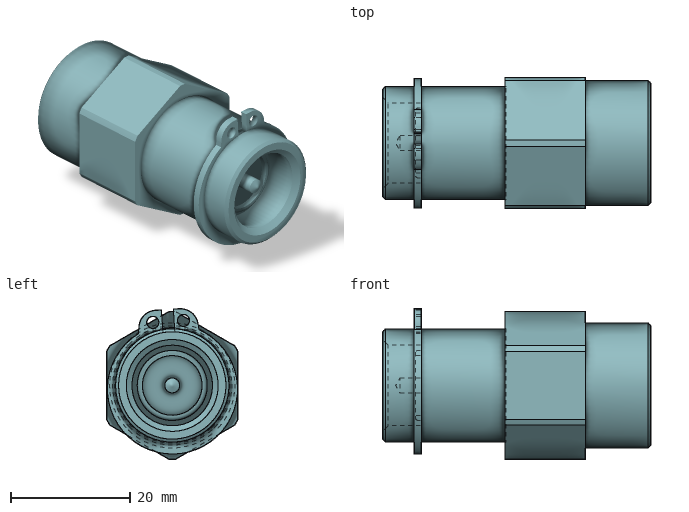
import cadquery as cq
import math

TOTAL_LENGTH = 45.0
FRONT_DIAMETER = 19.0
REAR_DIAMETER = 21.0
END_CHAMFER = 0.5

HEX_START = 20.5
HEX_END = 34.0
HEX_ACROSS_FLATS = 22.0
HEX_CORNER_DIAMETER = 24.8
HEX_RELIEF = 0.2

BORE_DIAMETER = 13.5
BORE_DEPTH = 6.5
BORE_MOUTH_DIAMETER = 15.4
BORE_MOUTH_DEPTH = 0.95

SLEEVE_DIAMETER = 11.75
SLEEVE_INNER_DIAMETER = 10.0
SLEEVE_START = 5.5
SLEEVE_ROUND = 0.5
PIN_DIAMETER = 2.5
PIN_START = 2.2
PIN_POINT_LENGTH = 0.72

RING_START = 5.3
RING_THICKNESS = 1.2
GROOVE_DIAMETER = 18.0
RING_OUTER_RADIUS = 10.9
RING_DROP = 0.6
RING_TURN = -3.65
LUG_TOP = 12.77
LUG_BASE = 8.6
LUG_TOP_HALF_WIDTH = 4.75
LUG_BASE_HALF_WIDTH = 5.1
LUG_ROUND = 3.0
LUG_GAP = 2.0
LUG_HOLE_DIAMETER = 2.0
LUG_HOLE_OFFSET = 2.57
LUG_HOLE_HEIGHT = 10.74


def plane_at(x):
    """Workplane across the axis: local x is +Y, local y is +Z, extrusion goes to +X."""
    return cq.Workplane("YZ", origin=(x, 0, 0))


def cylinder(diameter, start, end):
    return plane_at(start).circle(diameter / 2).extrude(end - start)


def make_body():
    front = cylinder(FRONT_DIAMETER, 0, HEX_START).faces("<X").chamfer(END_CHAMFER)
    rear = cylinder(REAR_DIAMETER, HEX_END, TOTAL_LENGTH).faces(">X").chamfer(END_CHAMFER)
    hex_length = HEX_END - HEX_START
    across_corners = HEX_ACROSS_FLATS / math.cos(math.radians(30))
    hexagon = (
        plane_at(HEX_START)
        .transformed(rotate=(0, 0, 90))
        .polygon(6, across_corners)
        .extrude(hex_length)
        .intersect(cylinder(HEX_CORNER_DIAMETER, HEX_START, HEX_END))
    )
    return front.union(hexagon).union(rear)


def make_hex_relief():
    """Small countersink in the hexagon's front face, around the front body."""
    body_radius = FRONT_DIAMETER / 2
    return (
        cq.Workplane("XY")
        .moveTo(HEX_START, body_radius)
        .lineTo(HEX_START, body_radius + HEX_RELIEF)
        .lineTo(HEX_START + HEX_RELIEF, body_radius)
        .close()
        .revolve(360, (0, 0, 0), (1, 0, 0))
    )


def make_socket():
    bore = cylinder(BORE_DIAMETER, 0, BORE_DEPTH)
    mouth = (
        cq.Workplane("XY")
        .moveTo(0, 0)
        .lineTo(0, BORE_MOUTH_DIAMETER / 2)
        .lineTo(BORE_MOUTH_DEPTH, BORE_DIAMETER / 2)
        .lineTo(BORE_MOUTH_DEPTH, 0)
        .close()
        .revolve(360, (0, 0, 0), (1, 0, 0))
    )
    return bore.union(mouth)


def make_contact():
    sleeve = cylinder(SLEEVE_DIAMETER, SLEEVE_START, BORE_DEPTH)
    sleeve = sleeve.faces("<X").edges().fillet(SLEEVE_ROUND)
    sleeve = sleeve.cut(cylinder(SLEEVE_INNER_DIAMETER, SLEEVE_START, BORE_DEPTH))
    pin_radius = PIN_DIAMETER / 2
    pin = (
        cq.Workplane("XY")
        .moveTo(PIN_START, 0)
        .lineTo(PIN_START + PIN_POINT_LENGTH, pin_radius)
        .lineTo(BORE_DEPTH, pin_radius)
        .lineTo(BORE_DEPTH, 0)
        .close()
        .revolve(360, (0, 0, 0), (1, 0, 0))
    )
    return sleeve.union(pin)


def make_snap_ring():
    ring = plane_at(RING_START).center(0, -RING_DROP).circle(RING_OUTER_RADIUS).extrude(RING_THICKNESS)
    lugs = (
        plane_at(RING_START)
        .moveTo(-LUG_BASE_HALF_WIDTH, LUG_BASE)
        .lineTo(-LUG_TOP_HALF_WIDTH, LUG_TOP)
        .lineTo(LUG_TOP_HALF_WIDTH, LUG_TOP)
        .lineTo(LUG_BASE_HALF_WIDTH, LUG_BASE)
        .close()
        .extrude(RING_THICKNESS)
        .edges("|X and >Z")
        .fillet(LUG_ROUND)
    )
    gap = plane_at(RING_START).center(0, LUG_TOP / 2).rect(LUG_GAP, LUG_TOP).extrude(RING_THICKNESS)
    holes = (
        plane_at(RING_START)
        .pushPoints([(-LUG_HOLE_OFFSET, LUG_HOLE_HEIGHT), (LUG_HOLE_OFFSET, LUG_HOLE_HEIGHT)])
        .circle(LUG_HOLE_DIAMETER / 2)
        .extrude(RING_THICKNESS)
    )
    seat = cylinder(GROOVE_DIAMETER, RING_START, RING_START + RING_THICKNESS)
    snap_ring = ring.union(lugs).cut(gap).cut(holes).cut(seat)
    return snap_ring.rotate((0, 0, 0), (1, 0, 0), RING_TURN)


def make_groove():
    groove_end = RING_START + RING_THICKNESS
    return cylinder(FRONT_DIAMETER, RING_START, groove_end).cut(
        cylinder(GROOVE_DIAMETER, RING_START, groove_end)
    )


connector = make_body().cut(make_hex_relief()).cut(make_groove()).cut(make_socket())
connector = connector.union(make_contact()).union(make_snap_ring())
result = connector.translate((-TOTAL_LENGTH / 2, 0, 0))